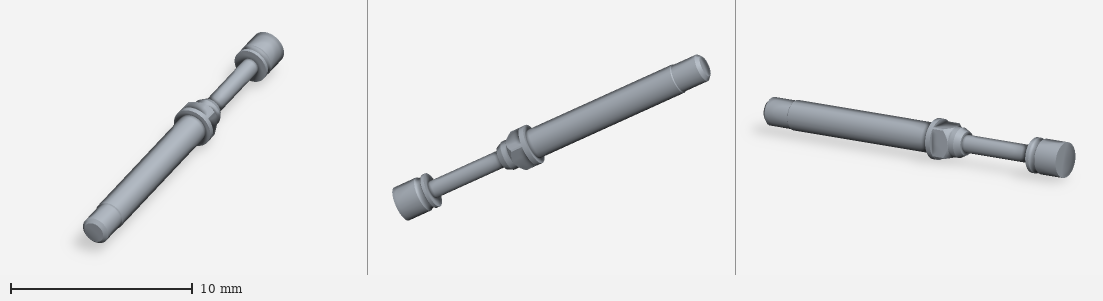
import cadquery as cq


barrel_diameter = 1.7
barrel_length = 9.3
barrel_chamfer = 0.05
tip_diameter = 1.6
tip_length = 1.7
tip_chamfer = 0.2

collar_diameter = 2.3
collar_length = 0.3

square_width = barrel_diameter
square_length = 1.0
shoulder_length = 0.35
shoulder_cone_length = 0.35
shoulder_end_diameter = 1.35

stem_diameter = 1.0
stem_length = 4.5
head_diameter = 2.0
head_length = 2.0
head_rim_length = 0.2
groove_depth = 0.1
groove_length = 0.4

barrel_end = -barrel_length
tip_end = barrel_end - tip_length
square_start = collar_length
square_end = square_start + square_length
shoulder_end = square_end + shoulder_length
cone_end = shoulder_end + shoulder_cone_length
head_start = cone_end + stem_length
head_end = head_start + head_length
groove_start = head_start + head_rim_length
groove_end = groove_start + groove_length


def revolve_outline(points):
    """Revolve a closed (radius, y) outline about the Y axis."""
    return cq.Workplane("XY").polyline(points).close().revolve(360, (0, 0, 0), (0, 1, 0))


def cylinder(diameter, start, end):
    """Cylinder on the Y axis between two stations."""
    radius = diameter / 2
    return revolve_outline([(0, start), (radius, start), (radius, end), (0, end)])


def make_barrel():
    """Long barrel with a small chamfer at the tip end."""
    radius = barrel_diameter / 2
    return revolve_outline([
        (0, barrel_end),
        (radius - barrel_chamfer, barrel_end),
        (radius, barrel_end + barrel_chamfer),
        (radius, 0),
        (0, 0),
    ])


def make_tip():
    """Reduced tip with a chamfered end."""
    radius = tip_diameter / 2
    return revolve_outline([
        (0, tip_end),
        (radius - tip_chamfer, tip_end),
        (radius, tip_end + tip_chamfer),
        (radius, barrel_end),
        (0, barrel_end),
    ])


def make_square_section():
    """Square prism with corners rounded to the collar size and chamfered by a 45 degree cone."""
    corner_radius = collar_diameter / 2
    end_radius = square_width / 2
    cone_start = square_end - (corner_radius - end_radius)
    envelope = revolve_outline([
        (0, square_start),
        (corner_radius, square_start),
        (corner_radius, cone_start),
        (end_radius, square_end),
        (0, square_end),
    ])
    prism = cq.Workplane("XY").box(square_width, square_length, square_width)
    prism = prism.translate((0, (square_start + square_end) / 2, 0))
    return envelope.intersect(prism)


def make_shoulder():
    """Short cylinder that tapers towards the stem."""
    radius = square_width / 2
    return revolve_outline([
        (0, square_end),
        (radius, square_end),
        (radius, shoulder_end),
        (shoulder_end_diameter / 2, cone_end),
        (0, cone_end),
    ])


def make_head():
    """Cylindrical head with a groove of circular-arc section above the lower rim."""
    radius = head_diameter / 2
    groove_bottom = (radius - groove_depth, (groove_start + groove_end) / 2)
    outline = (
        cq.Workplane("XY")
        .moveTo(0, head_start)
        .lineTo(radius, head_start)
        .lineTo(radius, groove_start)
        .threePointArc(groove_bottom, (radius, groove_end))
        .lineTo(radius, head_end)
        .lineTo(0, head_end)
        .close()
    )
    return outline.revolve(360, (0, 0, 0), (0, 1, 0))


result = (
    make_tip()
    .union(make_barrel())
    .union(cylinder(collar_diameter, 0, collar_length))
    .union(make_square_section())
    .union(make_shoulder())
    .union(cylinder(stem_diameter, cone_end, head_start))
    .union(make_head())
)